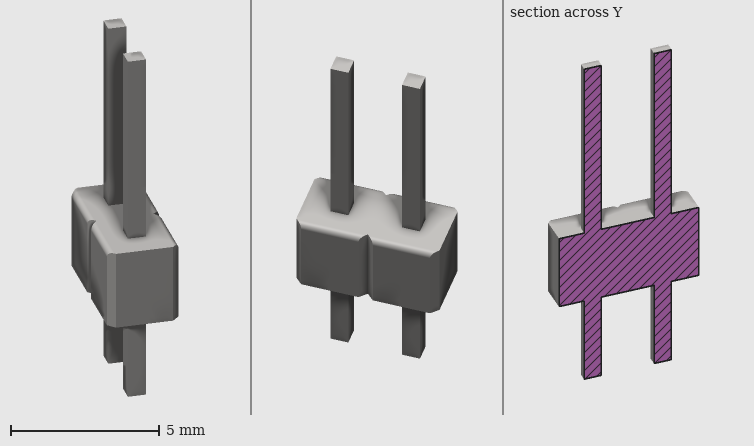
import cadquery as cq

pin_count = 2
pitch = 2.54
pin_side = 0.64
pin_length = 12.7
pin_shift = -0.04
tail_length = 3.2

body_depth = 2.5
body_height = 2.8
corner_chamfer = 0.25
top_edge_radius = 0.2

row_length = pin_count * pitch
cell_centres = [((i + 0.5) * pitch - row_length / 2, 0) for i in range(pin_count)]
pin_positions = [(x + pin_shift, y) for x, y in cell_centres]


def make_body():
    """Body with rounded long top edges and one chamfered cell per pin."""
    rounded_block = (
        cq.Workplane("XY", origin=(0, 0, tail_length))
        .box(row_length, body_depth, body_height, centered=(True, True, False))
        .edges("|X and >Z")
        .fillet(top_edge_radius)
    )
    cells = (
        cq.Workplane("XY", origin=(0, 0, tail_length))
        .rect(row_length, body_depth - 2 * corner_chamfer)
        .extrude(body_height)
    )
    for x, y in cell_centres:
        cell = (
            cq.Workplane("XY", origin=(x, y, tail_length))
            .rect(pitch, body_depth)
            .extrude(body_height)
            .edges("|Z")
            .chamfer(corner_chamfer)
        )
        cells = cells.union(cell)
    return rounded_block.intersect(cells)


def make_pins():
    """Square pins standing in a row along X."""
    return (
        cq.Workplane("XY")
        .pushPoints(pin_positions)
        .rect(pin_side, pin_side)
        .extrude(pin_length)
    )


result = make_body().union(make_pins()).clean()